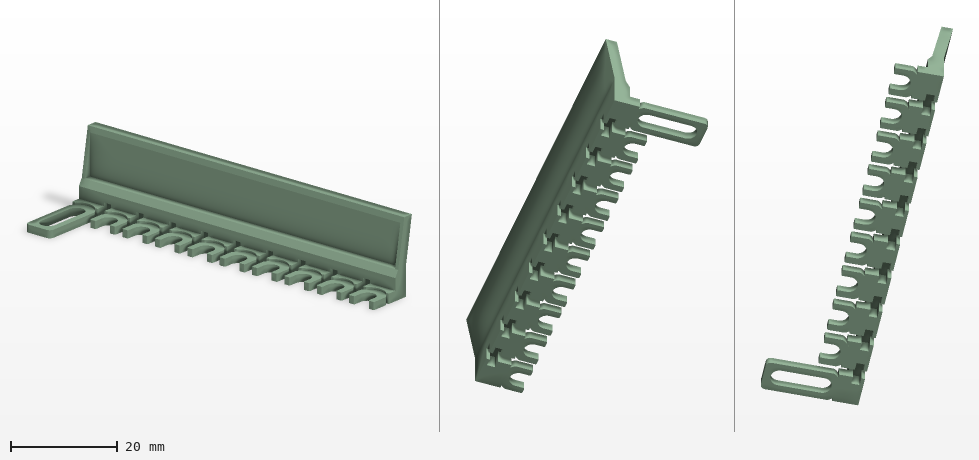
import cadquery as cq
import math


length = 77.3
height = 16.1
wall_depth = 3.1
foot_front = 5.0
foot_height = 2.1
bevel_bottom = 4.6
bevel_top = 6.0
lean_start = 6.0
back_overhang = 1.8
panel_depth = 2.25
lean_slope = back_overhang / (height - lean_start)

recess_margin = 0.8
recess_top = 14.85

lug_thickness = 1.6
slot_radius = 1.7
head_radius = 3.5
slot_y = -7.5
lug_count = 10
lug_width = 6.2
lug_pitch = (length - lug_width) / (lug_count - 1)
lug_centres = [lug_width / 2 + i * lug_pitch for i in range(lug_count)]
end_lug_centre = lug_centres[0]
fork_centres = lug_centres[1:]

fork_tip_y = -9.35
fork_corner = 0.2
end_lug_tip_y = -18.85
end_lug_corner = 0.9
shoulder_corner = 0.9
end_slot_front_y = -15.8

notch_height = 2.8

tongue_width = 3.1
spine_back_y = -0.7
spine_front_y = spine_back_y - lug_thickness
spine_bottom = notch_height
spine_top = 4.5
spine_left = lug_centres[0] - tongue_width / 2
spine_right = lug_centres[-1] + tongue_width / 2


def block(x_min, x_max, y_min, y_max, z_min, z_max):
    """Box given by its limits along each axis."""
    size = (x_max - x_min, y_max - y_min, z_max - z_min)
    return cq.Workplane("XY").box(*size, centered=False).translate((x_min, y_min, z_min))


def front_face_y(z):
    """Y of the leaning front face at height z."""
    return (z - lean_start) * lean_slope - panel_depth


def disc(x, y, radius, thickness):
    return cq.Workplane("XY").center(x, y).circle(radius).extrude(thickness)


def slot_cutter(x, front_y):
    """Slot with a round rear end, running forward to front_y."""
    channel = block(x - slot_radius, x + slot_radius, front_y, slot_y, 0, lug_thickness)
    return channel.union(disc(x, slot_y, slot_radius, lug_thickness))


def lug_blank(x, tip_y):
    """Plate with straight sides and a rear end rounded to head_radius."""
    half = lug_width / 2
    shoulder_y = slot_y + math.sqrt(head_radius**2 - half**2)
    blank = (
        cq.Workplane("XY")
        .moveTo(x - half, tip_y)
        .lineTo(x + half, tip_y)
        .lineTo(x + half, shoulder_y)
        .threePointArc((x, slot_y + head_radius), (x - half, shoulder_y))
        .close()
        .extrude(lug_thickness)
    )
    shoulder_zone = cq.selectors.BoxSelector(
        (x - lug_width, shoulder_y - shoulder_corner, 0),
        (x + lug_width, shoulder_y + shoulder_corner, lug_thickness),
    )
    return blank.edges("|Z").edges(shoulder_zone).fillet(shoulder_corner)


def make_fork(x):
    """Lug whose slot is open at the front."""
    fork = lug_blank(x, fork_tip_y).cut(slot_cutter(x, fork_tip_y))
    return fork.faces("<Y").edges("|Z").fillet(fork_corner)


def make_end_lug(x):
    """Long lug with a closed slot."""
    lug = lug_blank(x, end_lug_tip_y)
    lug = lug.faces("<Y").edges("|Z").fillet(end_lug_corner)
    slot = slot_cutter(x, end_slot_front_y).union(disc(x, end_slot_front_y, slot_radius, lug_thickness))
    return lug.cut(slot)


def make_tongue(x):
    """Angled tail that runs back under the foot and up to the spine."""
    left = x - tongue_width / 2
    right = x + tongue_width / 2
    head_y = slot_y + (head_radius + slot_radius) / 2
    tail = block(left, right, head_y, spine_back_y, 0, lug_thickness)
    riser = block(left, right, spine_front_y, spine_back_y, 0, spine_top)
    return tail.union(riser)


def make_comb():
    """Spine with one long end lug and a row of forks."""
    comb = block(spine_left, spine_right, spine_front_y, spine_back_y, spine_bottom, spine_top)
    for x in lug_centres:
        comb = comb.union(make_tongue(x))
    comb = comb.union(make_end_lug(end_lug_centre))
    for x in fork_centres:
        comb = comb.union(make_fork(x))
    return comb


def label_recess():
    """Wedge with an upright floor that meets the leaning face at its top edge."""
    floor_y = front_face_y(recess_top)
    section = [
        (floor_y, recess_top),
        (floor_y, bevel_top),
        (front_face_y(bevel_top), bevel_top),
    ]
    wedge = cq.Workplane("YZ").polyline(section).close().extrude(length - 2 * recess_margin)
    return wedge.translate((recess_margin, 0, 0))


def make_housing(comb):
    section = [
        (0, 0),
        (0, lean_start),
        (back_overhang, height),
        (front_face_y(height), height),
        (front_face_y(bevel_top), bevel_top),
        (-wall_depth, bevel_bottom),
        (-wall_depth, foot_height),
        (-foot_front, foot_height),
        (-foot_front, 0),
    ]
    housing = cq.Workplane("YZ").polyline(section).close().extrude(length)
    housing = housing.cut(label_recess())

    for x in fork_centres:
        notch_right = x - lug_width / 2
        notch_left = notch_right - (lug_pitch - lug_width)
        housing = housing.cut(block(notch_left, notch_right, -foot_front, 0, 0, notch_height))

    for x in lug_centres:
        housing = housing.cut(disc(x, slot_y, head_radius, foot_height))

    housing = housing.cut(block(spine_left, spine_right, spine_front_y, spine_back_y, 0, spine_top))

    return housing.cut(comb)


comb = make_comb()
housing = make_housing(comb)

result = cq.Compound.makeCompound([housing.val(), comb.val()])